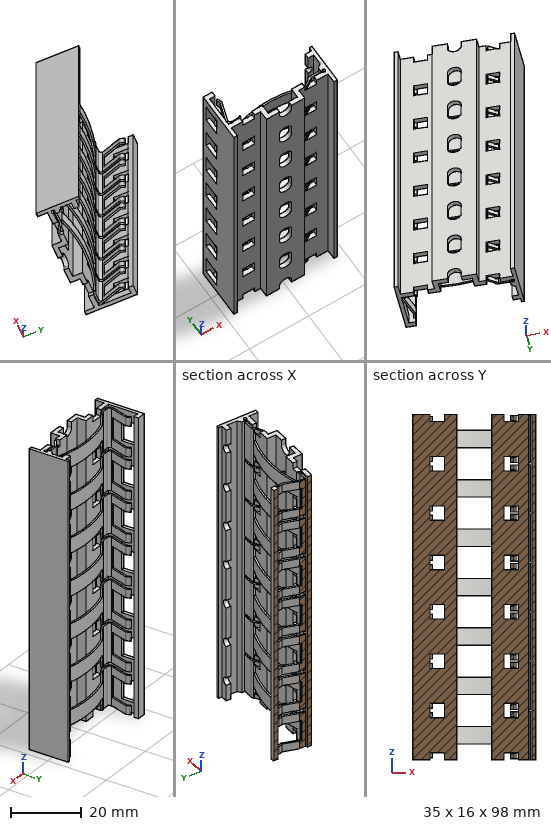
import cadquery as cq
import math


length = 98.0
width = 35.0
height = 16.0
pitch_count = 7
pitch = length / pitch_count

wall = 1.2
plate = 1.5
web_bottom = 3.0
web_top = web_bottom + plate
channel_inner_width = 9.8
channel_wall = 1.6
channel_outer_half = channel_inner_width / 2 + channel_wall
half_width = width / 2
inner_half = half_width - wall
left_flange_reach = 3.0
flange_thickness = 1.6
right_height = 13.2
right_tip_thickness = 0.9
lip_reach = 3.0
lip_top = 12.1
lip_bottom = lip_top - flange_thickness

hook_reach = 1.2
hook_top = 7.2
hook_shoulder = 6.3
hook_gap = 0.3
hook_bottom = web_top + hook_gap
hook_relief_radius = 0.5
hook_relief_inset = 0.4

slot_width = 4.0
slot_length = 7.35
square_side = 4.0
square_offset = 10.5
side_window_length = 7.0
side_window_bottom = 9.0
lip_notch_diameter = 2.7

spring_thickness = 0.6
spring_gap = 0.6
spring_inset = 0.3
strip_width = 5.0
strip_left = -11.9
strip_right = 10.8
prong_length = 2.8
prong_bottom = 6.4
base_axis = web_top + spring_thickness / 2
leg_clearance = 0.05
leg_axis = -inner_half + leg_clearance + spring_thickness / 2
bend_radius = 1.2
leg_base = base_axis + bend_radius
leg_elbow = (-14.0, 12.1)
leg_tip = (-14.4, 13.2)
arch_start = -12.9
arch_top = 6.9
seat_start = 11.8
seat_axis = base_axis + hook_gap
seat_end = inner_half - hook_reach / 2

tang_width = 1.5
tang_length = 3.3
tang_angle = math.radians(33)


def box(x_range, y_range, z_range):
    """Axis-aligned block given by its (low, high) limits."""
    (x0, x1), (y0, y1), (z0, z1) = x_range, y_range, z_range
    return cq.Workplane("XY").box(x1 - x0, y1 - y0, z1 - z0, centered=False).translate((x0, y0, z0))


def around(centre, size):
    """(low, high) limits of a span centred on a point."""
    return (centre - size / 2, centre + size / 2)


def rail_profile():
    """Two unequal side walls joined by a web with a sunken channel."""
    channel_inner_half = channel_inner_width / 2
    return cq.Workplane("XY").polyline([
        (-half_width, 0),
        (-inner_half, 0),
        (-inner_half, web_bottom),
        (-channel_outer_half, web_bottom),
        (-channel_outer_half, 0),
        (channel_outer_half, 0),
        (channel_outer_half, web_bottom),
        (inner_half, web_bottom),
        (inner_half, 0),
        (half_width, 0),
        (half_width, right_height),
        (half_width - right_tip_thickness, right_height),
        (half_width - right_tip_thickness, lip_top),
        (half_width - lip_reach, lip_top),
        (half_width - lip_reach, lip_bottom),
        (inner_half, lip_bottom),
        (inner_half, hook_top),
        (inner_half - hook_reach, hook_shoulder),
        (inner_half - hook_reach, hook_bottom),
        (inner_half, hook_bottom),
        (inner_half, web_top),
        (channel_inner_half, web_top),
        (channel_inner_half, plate),
        (-channel_inner_half, plate),
        (-channel_inner_half, web_top),
        (-inner_half, web_top),
        (-inner_half, height - flange_thickness),
        (-half_width + left_flange_reach, height - flange_thickness),
        (-half_width + left_flange_reach, height),
        (-half_width, height),
    ]).close()


def cut_node_openings(rail, z):
    """Channel slot and the two square web holes at one pitch mark."""
    slot = cq.Workplane("XZ").center(0, z).slot2D(slot_length, slot_width, 90).extrude(-plate)
    rail = rail.cut(slot)
    for x in (-square_offset, square_offset):
        rail = rail.cut(box(around(x, square_side), (web_bottom, web_top), around(z, square_side)))
    return rail


def cut_bay_openings(rail, z):
    """Left wall window and right lip notch midway between two pitch marks."""
    window = box(
        (-half_width, -inner_half),
        (side_window_bottom, height - flange_thickness),
        around(z, side_window_length),
    )
    notch = (
        cq.Workplane("XZ", origin=(half_width - lip_reach, lip_bottom, z))
        .circle(lip_notch_diameter / 2)
        .extrude(lip_bottom - lip_top)
    )
    return rail.cut(window).cut(notch)


def tang(low):
    """Flat tongue sloping down and inwards from the start of the seat."""
    along_x = -math.cos(tang_angle)
    along_y = -math.sin(tang_angle)
    half = spring_thickness / 2
    tip_x = seat_start + tang_length * along_x
    tip_y = seat_axis + tang_length * along_y
    return (
        cq.Workplane("XY", origin=(0, 0, low))
        .polyline([
            (seat_start + half * along_y, seat_axis - half * along_x),
            (tip_x + half * along_y, tip_y - half * along_x),
            (tip_x - half * along_y, tip_y + half * along_x),
            (seat_start - half * along_y, seat_axis + half * along_x),
        ])
        .close()
        .extrude(tang_width)
    )


def spring_clip(z):
    """Clip centred at height z: two prongs, a narrow arched strip and a hooked seat with tangs."""
    clip_length = pitch - spring_gap
    low, high = around(z, clip_length)
    strip_low, strip_high = around(z, strip_width)
    y_range = (0, height)

    sheet = (
        cq.Workplane("XY", origin=(0, 0, low))
        .moveTo(*leg_tip)
        .lineTo(*leg_elbow)
        .lineTo(leg_axis, leg_base)
        .radiusArc((leg_axis + bend_radius, base_axis), -bend_radius)
        .lineTo(arch_start, base_axis)
        .threePointArc(((arch_start + strip_right) / 2, arch_top), (strip_right, base_axis))
        .lineTo(seat_start, seat_axis)
        .lineTo(seat_end, seat_axis)
        .wire()
        .offset2D(spring_thickness / 2)
        .extrude(clip_length)
    )
    inner_low = low + spring_inset
    inner_high = high - spring_inset
    leg_opening = (inner_low + prong_length, inner_high - prong_length)
    sheet = sheet.cut(box((-inner_half, arch_start), (prong_bottom, height), leg_opening))
    for inset_range in ((low, inner_low), (inner_high, high)):
        sheet = sheet.cut(box((-inner_half, strip_left), y_range, inset_range))
    for side_range in ((low, strip_low), (strip_high, high)):
        sheet = sheet.cut(box((strip_left, strip_right), y_range, side_range))

    for tang_low in (low, high - tang_width):
        sheet = sheet.union(tang(tang_low))
    return sheet


rail = rail_profile().extrude(length)
hook_relief = (
    cq.Workplane("XY")
    .center(inner_half - hook_relief_inset, (web_top + hook_bottom) / 2)
    .circle(hook_relief_radius)
    .extrude(length)
)
rail = rail.cut(hook_relief)
for node in range(pitch_count + 1):
    rail = cut_node_openings(rail, node * pitch)
for bay in range(pitch_count):
    rail = cut_bay_openings(rail, (bay + 0.5) * pitch)

result = rail
for bay in range(pitch_count):
    result = result.union(spring_clip((bay + 0.5) * pitch))